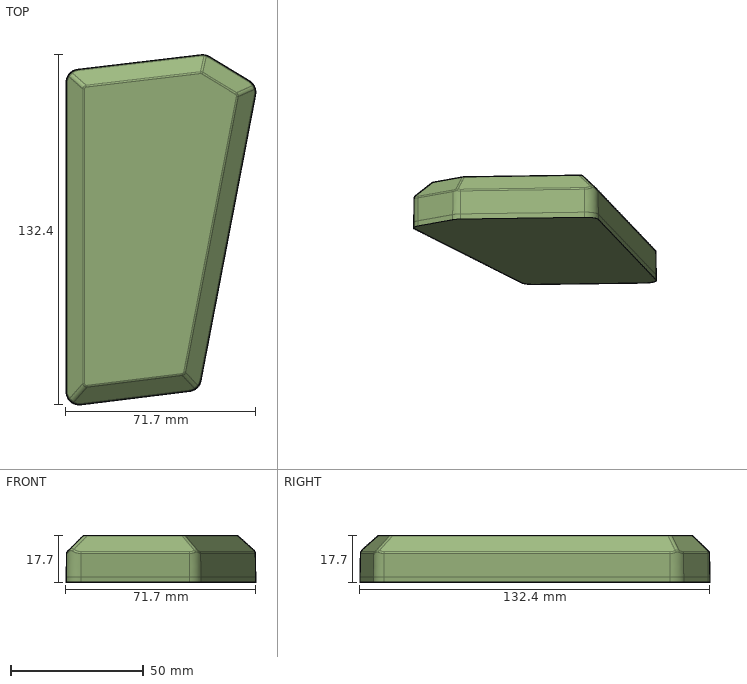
import cadquery as cq
import math

FRONT_LEFT = (0, -0.7)
FRONT_RIGHT = (50.3, 5.5)
BACK_RIGHT = (72.3, 120.6)
BACK_PEAK = (52.7, 132.5)
BACK_LEFT = (0, 126.3)
OUTLINE = [FRONT_LEFT, FRONT_RIGHT, BACK_RIGHT, BACK_PEAK, BACK_LEFT]

height = 17.7
band_height = 2.0
shoulder_height = 11.1
shoulder_rise = 2.0

wall_draft = 1.0
rim_slope = 45.0

corner_radius = 5.0
ridge_radius = 2.0
edge_radius = 0.99


def walled_block():
    """Full-height block: a straight band, then drafted walls, with rounded corners."""
    band = cq.Workplane("XY").polyline(OUTLINE).close().extrude(band_height)
    band = band.edges("|Z").fillet(corner_radius)
    drafted = (
        band.faces(">Z")
        .wires()
        .toPending()
        .workplane()
        .extrude(height - band_height, taper=wall_draft, combine=False)
    )
    return band.union(drafted)


def roof():
    """Pyramid-like envelope whose sloping sides form the rim; its ridges are rounded."""
    spread = shoulder_height * math.tan(math.radians(rim_slope))
    envelope = (
        cq.Workplane("XY")
        .polyline(OUTLINE)
        .close()
        .offset2D(spread, "intersection")
        .extrude(height, taper=rim_slope)
    )
    return envelope.edges("not(#Z)").fillet(ridge_radius)


def ease_rim(block):
    """Round the shoulder below the rim and the border of the flat top."""
    shoulder_zone = cq.selectors.BoxSelector(
        (*FRONT_LEFT, shoulder_height),
        (BACK_RIGHT[0], BACK_PEAK[1], shoulder_height + shoulder_rise),
    )
    shoulder_edges = block.edges(shoulder_zone).vals()
    top_edges = block.faces(">Z").edges().vals()
    return block.newObject(shoulder_edges + top_edges).fillet(edge_radius)


result = ease_rim(walled_block().intersect(roof()))